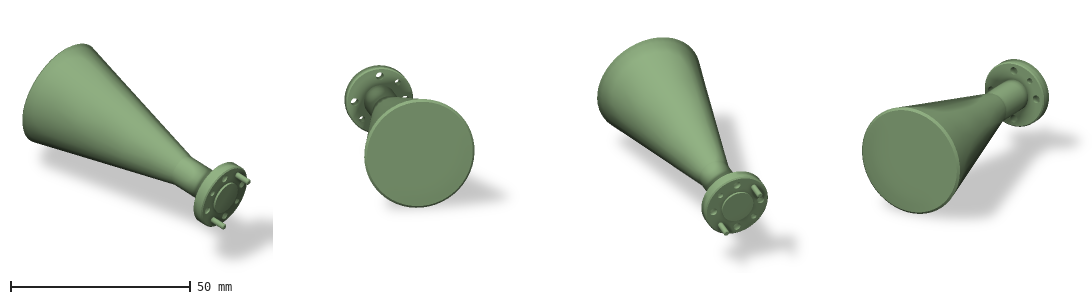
import cadquery as cq
import math

overall_length = 67.4
mouth_diameter = 31.3
mouth_chamfer = 0.64
cone_end_x = 46.9
tube_diameter = 9.1

flange_front_x = 59.35
flange_thickness = 3.45
flange_diameter = 19.0
flange_chamfer = 0.35
boss_height = 0.6
boss_diameter = 9.35
flange_rear_x = flange_front_x + flange_thickness
boss_end_x = flange_rear_x + boss_height

pitch_radius = 7.15
screw_hole_diameter = 2.2
screw_angles = (0, 90, 180, 270)
alignment_hole_diameter = 1.7
alignment_angles = (135, 315)
pin_diameter = 1.6
pin_chamfer = 0.2
pin_angles = (45, 225)


def flange_rod(angle, diameter, end_x):
    """Cylinder along X on the pitch circle, from the flange front face to end_x."""
    turn = math.radians(angle)
    centre = (pitch_radius * math.cos(turn), pitch_radius * math.sin(turn))
    return (
        cq.Workplane("YZ", origin=(flange_front_x, 0, 0))
        .center(*centre)
        .circle(diameter / 2)
        .extrude(end_x - flange_front_x)
    )


def make_horn_blank():
    """Cone, tube, flange and boss revolved in one piece."""
    mouth_radius = mouth_diameter / 2
    tube_radius = tube_diameter / 2
    flange_radius = flange_diameter / 2
    flange_face_radius = flange_radius - flange_chamfer
    boss_radius = boss_diameter / 2
    outline = [
        (0, 0),
        (0, mouth_radius - mouth_chamfer),
        (mouth_chamfer, mouth_radius),
        (cone_end_x, tube_radius),
        (flange_front_x, tube_radius),
        (flange_front_x, flange_face_radius),
        (flange_front_x + flange_chamfer, flange_radius),
        (flange_rear_x - flange_chamfer, flange_radius),
        (flange_rear_x, flange_face_radius),
        (flange_rear_x, boss_radius),
        (boss_end_x, boss_radius),
        (boss_end_x, 0),
    ]
    return cq.Workplane("XZ").polyline(outline).close().revolve(360, (0, 0, 0), (1, 0, 0))


def make_horn():
    """Horn with its screw, alignment and pin holes through the flange."""
    horn = make_horn_blank()
    hole_sets = (
        (screw_angles, screw_hole_diameter),
        (alignment_angles, alignment_hole_diameter),
        (pin_angles, pin_diameter),
    )
    for angles, diameter in hole_sets:
        for angle in angles:
            horn = horn.cut(flange_rod(angle, diameter, flange_rear_x))
    return horn


def make_pin(angle):
    """Dowel pin, flush with the flange front face and chamfered at its free end."""
    return flange_rod(angle, pin_diameter, overall_length).faces(">X").chamfer(pin_chamfer)


horn = make_horn()
pins = [make_pin(angle) for angle in pin_angles]

result = cq.Compound.makeCompound([horn.val(), *[pin.val() for pin in pins]])